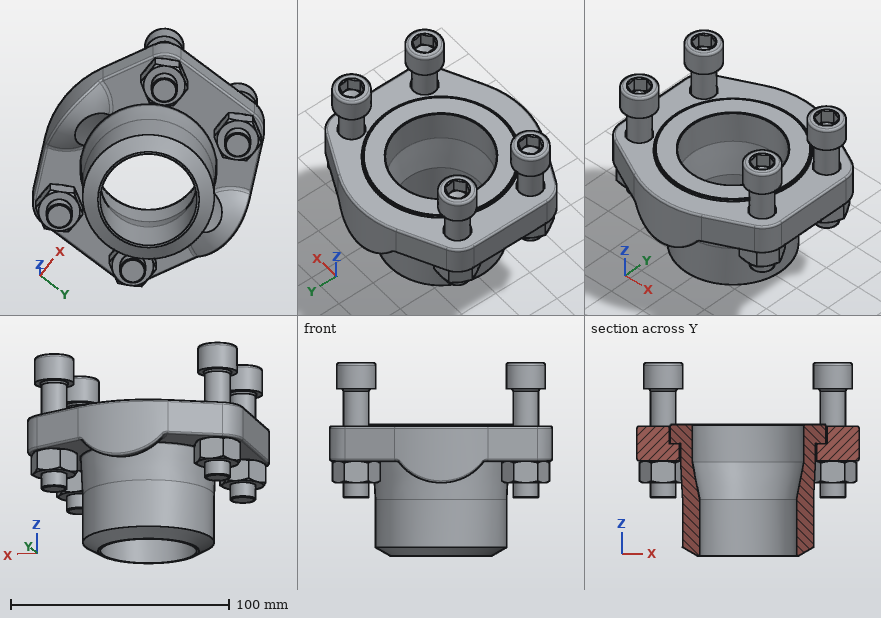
import cadquery as cq
import math

NECK_BASE_Z = 26.1
COLLAR_BASE_Z = 43.2
FLANGE_BASE_Z = 43.6
FLANGE_THICKNESS = 16.0
FLANGE_TOP_Z = FLANGE_BASE_Z + FLANGE_THICKNESS
COLLAR_TOP_Z = 60.3
SCREW_TOP_Z = 88.6

FLANGE_WIDTH = 102.0
FLANGE_DEPTH = 97.0
ROUND_RADIUS = FLANGE_DEPTH / 2
BOLT_X = 38.9
BOLT_Y = 21.4
CORNER_RADIUS = FLANGE_WIDTH / 2 - BOLT_X
FLANGE_ROUNDING = 1.0
BOLT_HOLE_DIAMETER = 13.0
FLANGE_BORE = 62.7
RECESS_DIAMETER = 72.2
RECESS_CHAMFER = 0.4
LUG_RADIUS = 25.5
LUG_DEPTH = 10.0
LUG_CENTER_Y = 47.9
LUG_BLEND = 2.0
LUG_CLEARANCE = 1.0

PIPE_DIAMETER = 60.3
NECK_TOP_DIAMETER = 62.0
PIPE_BORE = 44.3
COLLAR_BORE = 51.0
COLLAR_DIAMETER = 71.4
COLLAR_SEAT_Z = 51.5
COLLAR_CHAMFER = 0.4
WELD_BEVEL_WIDTH = 6.9
WELD_BEVEL_ANGLE = 30.0
WELD_BEVEL_HEIGHT = WELD_BEVEL_WIDTH * math.tan(math.radians(WELD_BEVEL_ANGLE))

SHANK_DIAMETER = 11.7
SHANK_LENGTH = 50.0
SHANK_CHAMFER = 0.5
HEAD_DIAMETER = 18.0
HEAD_HEIGHT = 12.0
HEAD_ROUNDING = 1.2
HEAD_FILLET = 0.6
HEAD_FILLET_HEIGHT = 1.0
SOCKET_FLATS = 10.0
SOCKET_DEPTH = 7.1
SOCKET_RIM_DIAMETER = 11.7
SOCKET_TURN = 38.0
DRILL_POINT_ANGLE = 120.0

NUT_FLATS = 19.0
NUT_HEIGHT = 10.0
NUT_CHAMFER_ANGLE = 30.0

BOLT_POINTS = [(sx * BOLT_X, sy * BOLT_Y) for sx in (-1, 1) for sy in (-1, 1)]


def cylinder(diameter, bottom, top):
    return cq.Workplane("XY").workplane(offset=bottom).circle(diameter / 2).extrude(top - bottom)


def hexagon_corners(flats):
    """Diameter of the circle through the corners of a hexagon."""
    return flats / math.cos(math.pi / 6)


def flange_prism(bottom, top):
    """Flange outline: two large arcs and four corner arcs joined by their common tangents."""
    corner_distance = math.hypot(BOLT_X, BOLT_Y)
    tangent_angle = math.atan2(BOLT_Y, BOLT_X) + math.acos((ROUND_RADIUS - CORNER_RADIUS) / corner_distance)

    def corner_point(angle):
        return BOLT_X + CORNER_RADIUS * math.cos(angle), BOLT_Y + CORNER_RADIUS * math.sin(angle)

    side_x = FLANGE_WIDTH / 2
    round_start = (ROUND_RADIUS * math.cos(tangent_angle), ROUND_RADIUS * math.sin(tangent_angle))
    round_middle_angle = (tangent_angle + math.pi / 2) / 2
    round_middle = (ROUND_RADIUS * math.cos(round_middle_angle), ROUND_RADIUS * math.sin(round_middle_angle))
    quarter = (
        cq.Workplane("XY")
        .workplane(offset=bottom)
        .moveTo(side_x, 0)
        .lineTo(side_x, BOLT_Y)
        .threePointArc(corner_point(tangent_angle / 2), corner_point(tangent_angle))
        .lineTo(*round_start)
        .threePointArc(round_middle, (0, ROUND_RADIUS))
    )
    return quarter.mirrorY().mirrorX().extrude(top - bottom)


def make_flange_blank():
    """Plate with a spherical lug hanging below it at its +Y and -Y sides, rounded all around."""
    lug_bottom = FLANGE_BASE_Z - LUG_DEPTH
    ball = (
        cq.Workplane("XY")
        .sphere(LUG_RADIUS)
        .rotate((0, 0, 0), (0, 1, 0), -90)
        .translate((0, LUG_CENTER_Y, lug_bottom + LUG_RADIUS))
    )
    plate_space = cylinder(2 * FLANGE_WIDTH, FLANGE_BASE_Z, FLANGE_TOP_Z + LUG_RADIUS)
    envelope = plate_space.union(ball).union(ball.mirror("XZ"))
    blank = flange_prism(lug_bottom - LUG_CLEARANCE, FLANGE_TOP_Z).intersect(envelope)

    blank = blank.edges(cq.selectors.RadiusNthSelector(1)).fillet(LUG_BLEND)
    blank = blank.faces(">Z").edges().fillet(FLANGE_ROUNDING)
    rim_edge = cq.selectors.NearestToPointSelector((FLANGE_WIDTH / 2, 0, FLANGE_BASE_Z))
    return blank.edges(rim_edge).fillet(FLANGE_ROUNDING)


def make_flange():
    """Blank bored for the nipple and the screws."""
    recess_radius = RECESS_DIAMETER / 2
    bore_radius = FLANGE_BORE / 2
    flare_z = FLANGE_BASE_Z - LUG_DEPTH
    nipple_space = (
        cq.Workplane("XZ")
        .moveTo(0, flare_z)
        .lineTo(bore_radius + LUG_DEPTH, flare_z)
        .lineTo(bore_radius, FLANGE_BASE_Z)
        .lineTo(bore_radius, COLLAR_SEAT_Z)
        .lineTo(recess_radius, COLLAR_SEAT_Z)
        .lineTo(recess_radius, FLANGE_TOP_Z - RECESS_CHAMFER)
        .lineTo(recess_radius + RECESS_CHAMFER, FLANGE_TOP_Z)
        .lineTo(0, FLANGE_TOP_Z)
        .close()
        .revolve(360, (0, 0), (0, 1))
    )
    flange = make_flange_blank().cut(nipple_space)
    for x, y in BOLT_POINTS:
        flange = flange.cut(cylinder(BOLT_HOLE_DIAMETER, FLANGE_BASE_Z, FLANGE_TOP_Z).translate((x, y, 0)))
    return flange


def make_nipple():
    """Weld nipple: a bevelled pipe end, a slightly conical neck and a collar set into the flange."""
    pipe_radius = PIPE_DIAMETER / 2
    collar_radius = COLLAR_DIAMETER / 2
    return (
        cq.Workplane("XZ")
        .moveTo(PIPE_BORE / 2, 0)
        .lineTo(pipe_radius - WELD_BEVEL_WIDTH, 0)
        .lineTo(pipe_radius, WELD_BEVEL_HEIGHT)
        .lineTo(pipe_radius, NECK_BASE_Z)
        .lineTo(NECK_TOP_DIAMETER / 2, COLLAR_BASE_Z)
        .lineTo(NECK_TOP_DIAMETER / 2, COLLAR_SEAT_Z)
        .lineTo(collar_radius, COLLAR_SEAT_Z)
        .lineTo(collar_radius, COLLAR_TOP_Z - COLLAR_CHAMFER)
        .lineTo(collar_radius - COLLAR_CHAMFER, COLLAR_TOP_Z)
        .lineTo(COLLAR_BORE / 2 + COLLAR_CHAMFER, COLLAR_TOP_Z)
        .lineTo(COLLAR_BORE / 2, COLLAR_TOP_Z - COLLAR_CHAMFER)
        .lineTo(COLLAR_BORE / 2, COLLAR_BASE_Z)
        .lineTo(PIPE_BORE / 2, NECK_BASE_Z)
        .close()
        .revolve(360, (0, 0), (0, 1))
    )


def cone(radius, base_z, height):
    """Cone with its point at base_z + height; a negative height points it down."""
    direction = cq.Vector(0, 0, math.copysign(1, height))
    return cq.Workplane(cq.Solid.makeCone(radius, 0, abs(height), cq.Vector(0, 0, base_z), direction))


def socket_tool():
    """Hexagon socket with a drill point at its floor and a countersunk rim."""
    floor_z = SCREW_TOP_Z - SOCKET_DEPTH
    hexagon = (
        cq.Workplane("XY")
        .workplane(offset=floor_z)
        .polygon(6, hexagon_corners(SOCKET_FLATS))
        .extrude(SOCKET_DEPTH)
        .rotate((0, 0, 0), (0, 0, 1), SOCKET_TURN)
    )
    drill_slope = 1 / math.tan(math.radians(DRILL_POINT_ANGLE / 2))
    drill_point = cone(SOCKET_FLATS / 2, floor_z, -SOCKET_FLATS / 2 * drill_slope)
    rim_radius = SOCKET_RIM_DIAMETER / 2
    return hexagon.union(drill_point).union(cone(rim_radius, SCREW_TOP_Z, -rim_radius * drill_slope))


def make_screw(x, y):
    """Socket head cap screw with a hexagon socket, pointing down."""
    shank_radius = SHANK_DIAMETER / 2
    head_radius = HEAD_DIAMETER / 2
    head_base = SCREW_TOP_Z - HEAD_HEIGHT
    tip = head_base - SHANK_LENGTH
    screw = (
        cq.Workplane("XZ")
        .moveTo(0, tip)
        .lineTo(shank_radius - SHANK_CHAMFER, tip)
        .lineTo(shank_radius, tip + SHANK_CHAMFER)
        .lineTo(shank_radius, head_base - HEAD_FILLET_HEIGHT)
        .lineTo(shank_radius + HEAD_FILLET, head_base)
        .lineTo(head_radius, head_base)
        .lineTo(head_radius, SCREW_TOP_Z)
        .lineTo(0, SCREW_TOP_Z)
        .close()
        .revolve(360, (0, 0), (0, 1))
    )
    screw = screw.faces(">Z").edges().fillet(HEAD_ROUNDING)
    return screw.cut(socket_tool()).translate((x, y, 0))


def make_nut(x, y):
    """Hexagon nut with both faces chamfered, under the flange."""
    base_z = FLANGE_BASE_Z - NUT_HEIGHT
    corner_radius = hexagon_corners(NUT_FLATS) / 2
    face_radius = NUT_FLATS / 2
    chamfer = (corner_radius - face_radius) * math.tan(math.radians(NUT_CHAMFER_ANGLE))
    envelope = (
        cq.Workplane("XZ")
        .moveTo(SHANK_DIAMETER / 2, base_z)
        .lineTo(face_radius, base_z)
        .lineTo(corner_radius, base_z + chamfer)
        .lineTo(corner_radius, FLANGE_BASE_Z - chamfer)
        .lineTo(face_radius, FLANGE_BASE_Z)
        .lineTo(SHANK_DIAMETER / 2, FLANGE_BASE_Z)
        .close()
        .revolve(360, (0, 0), (0, 1))
    )
    hexagon = (
        cq.Workplane("XY").workplane(offset=base_z).polygon(6, 2 * corner_radius).extrude(NUT_HEIGHT)
    )
    return hexagon.intersect(envelope).translate((x, y, 0))


flange = make_flange()
nipple = make_nipple()
screws = [make_screw(x, y) for x, y in BOLT_POINTS]
nuts = [make_nut(x, y) for x, y in BOLT_POINTS]

bodies = [flange, nipple, *screws, *nuts]
result = cq.Compound.makeCompound([body.val() for body in bodies])